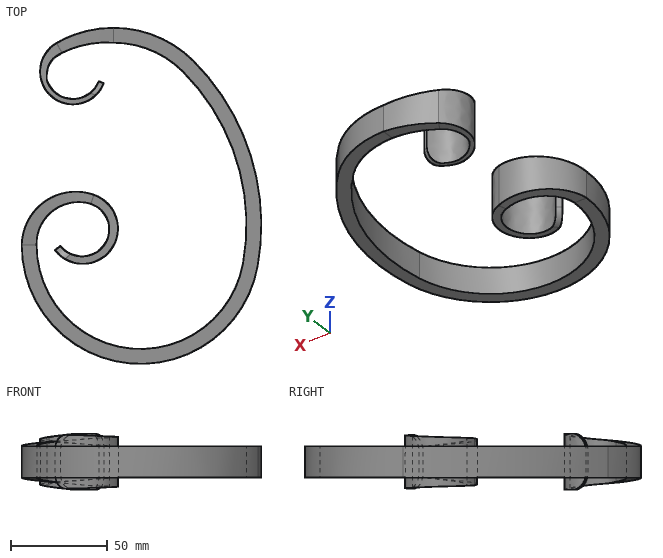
import cadquery as cq
import math

BAR_THICKNESS = 7.9
BAR_HEIGHT = 16.5

LOWER_RADIUS = 62.0
BACK_RADIUS = 120.8
TOP_RADIUS = 59.0
LOWER_START = -180.0
LOWER_TO_BACK = -10.2
BACK_TO_TOP = 45.0
TOP_END = 90.0

UPPER_CURL_RADIUS = 17.2
UPPER_CURL_START = 120.2
UPPER_THIN_ANGLE = 200.0
UPPER_TALL_ANGLE = 270.0
UPPER_TIP_ANGLE = 339.5
UPPER_CURL_START_THICKNESS = 6.0
UPPER_CURL_START_HEIGHT = 20.6
UPPER_THIN_THICKNESS = 2.8
UPPER_THIN_HEIGHT = 24.5
UPPER_TALL_HEIGHT = 29.0
UPPER_TIP_HEIGHT = 29.4

LOWER_SCROLL_RADIUS = 25.0
LOWER_CURL_RADIUS = 16.3
LOWER_CURL_START = 72.0
LOWER_TIP_ANGLE = -142.5
LOWER_CURL_START_THICKNESS = 5.0
LOWER_CURL_START_HEIGHT = 24.7
LOWER_TIP_THICKNESS = 3.5
LOWER_TIP_HEIGHT = 28.4

TIP_CORNER_RADIUS = 8.4
CUT_MARGIN = 1.8
CUT_REACH = 7.0
FULL_TURN = 360.0
SECTION_SPACING = 12.0

PATH_ON_OUTER_FACE = 0.0
PATH_IN_MIDDLE = 0.5


def polar(center, radius, angle):
    """Point at a radius and an angle from a centre."""
    turn = math.radians(angle)
    return (center[0] + radius * math.cos(turn), center[1] + radius * math.sin(turn))


def plain_bend(center, outer_radius, start, end):
    """Bar of constant section bent through an arc."""
    inner_radius = outer_radius - BAR_THICKNESS
    middle = (start + end) / 2
    return (
        cq.Workplane("XY", origin=(0, 0, -BAR_HEIGHT / 2))
        .moveTo(*polar(center, outer_radius, start))
        .threePointArc(polar(center, outer_radius, middle), polar(center, outer_radius, end))
        .lineTo(*polar(center, inner_radius, end))
        .threePointArc(polar(center, inner_radius, middle), polar(center, inner_radius, start))
        .close()
        .extrude(BAR_HEIGHT)
    )


def strip_section(center, inner_radius, outer_radius, angle, height):
    """Upright rectangle across the strip."""
    inner = polar(center, inner_radius, angle)
    outer = polar(center, outer_radius, angle)
    half = height / 2
    corners = [(*inner, -half), (*outer, -half), (*outer, half), (*inner, half)]
    return cq.Wire.makePolygon([cq.Vector(*corner) for corner in corners], close=True)


def tapered_bend(center, radius, stations, outer_share):
    """Strip along an arc, tapering evenly between stations of (angle, thickness, height)."""
    samples = [stations[0]]
    for begin, finish in zip(stations, stations[1:]):
        steps = math.ceil(abs(finish[0] - begin[0]) / SECTION_SPACING)
        for step in range(1, steps + 1):
            samples.append([a + (b - a) * step / steps for a, b in zip(begin, finish)])
    sections = []
    for angle, thickness, height in samples:
        outer_radius = radius + outer_share * thickness
        sections.append(strip_section(center, outer_radius - thickness, outer_radius, angle, height))
    return cq.Workplane(obj=cq.Solid.makeLoft(sections))


def round_tip(strip, center, middle_radius, angle, height, turn):
    """Round the upper and lower corners at the free end of a strip.

    turn is 1 when the strip runs counter-clockwise to its tip and -1 when it runs clockwise.
    """
    radial = polar((0.0, 0.0), 1.0, angle)
    back_from_tip = polar((0.0, 0.0), 1.0, angle - turn * 90)
    top = height / 2
    plane = cq.Plane(
        origin=(*polar(center, middle_radius, angle), 0),
        xDir=(*back_from_tip, 0),
        normal=(*radial, 0),
    )
    for side in (1, -1):
        waste = (
            cq.Workplane(plane)
            .moveTo(0, side * (top - TIP_CORNER_RADIUS))
            .radiusArc((TIP_CORNER_RADIUS, side * top), side * TIP_CORNER_RADIUS)
            .lineTo(TIP_CORNER_RADIUS, side * (top + CUT_MARGIN))
            .lineTo(-CUT_MARGIN, side * (top + CUT_MARGIN))
            .lineTo(-CUT_MARGIN, side * (top - TIP_CORNER_RADIUS))
            .close()
            .extrude(CUT_REACH, both=True)
        )
        strip = strip.cut(waste)
    return strip


lower_center = (0.0, 0.0)
back_center = polar(lower_center, LOWER_RADIUS - BACK_RADIUS, LOWER_TO_BACK)
top_center = polar(back_center, BACK_RADIUS - TOP_RADIUS, BACK_TO_TOP)
upper_curl_center = polar(top_center, TOP_RADIUS - UPPER_CURL_RADIUS, UPPER_CURL_START)
lower_scroll_center = polar(lower_center, LOWER_RADIUS - BAR_THICKNESS / 2 - LOWER_SCROLL_RADIUS, LOWER_START)
lower_curl_center = polar(lower_scroll_center, LOWER_SCROLL_RADIUS - LOWER_CURL_RADIUS, LOWER_CURL_START)

upper_joint = (UPPER_CURL_START, UPPER_CURL_START_THICKNESS, UPPER_CURL_START_HEIGHT)
upper_scroll = tapered_bend(
    top_center,
    TOP_RADIUS,
    [(TOP_END, BAR_THICKNESS, BAR_HEIGHT), upper_joint],
    PATH_ON_OUTER_FACE,
)
upper_curl = tapered_bend(
    upper_curl_center,
    UPPER_CURL_RADIUS,
    [
        upper_joint,
        (UPPER_THIN_ANGLE, UPPER_THIN_THICKNESS, UPPER_THIN_HEIGHT),
        (UPPER_TALL_ANGLE, UPPER_THIN_THICKNESS, UPPER_TALL_HEIGHT),
        (UPPER_TIP_ANGLE, UPPER_THIN_THICKNESS, UPPER_TIP_HEIGHT),
    ],
    PATH_ON_OUTER_FACE,
)
upper_tip_radius = UPPER_CURL_RADIUS - UPPER_THIN_THICKNESS / 2
upper_curl = round_tip(upper_curl, upper_curl_center, upper_tip_radius, UPPER_TIP_ANGLE, UPPER_TIP_HEIGHT, 1)

lower_joint = (LOWER_CURL_START, LOWER_CURL_START_THICKNESS, LOWER_CURL_START_HEIGHT)
lower_scroll = tapered_bend(
    lower_scroll_center,
    LOWER_SCROLL_RADIUS,
    [(LOWER_START + FULL_TURN, BAR_THICKNESS, BAR_HEIGHT), lower_joint],
    PATH_IN_MIDDLE,
)
lower_curl = tapered_bend(
    lower_curl_center,
    LOWER_CURL_RADIUS,
    [lower_joint, (LOWER_TIP_ANGLE, LOWER_TIP_THICKNESS, LOWER_TIP_HEIGHT)],
    PATH_IN_MIDDLE,
)
lower_curl = round_tip(lower_curl, lower_curl_center, LOWER_CURL_RADIUS, LOWER_TIP_ANGLE, LOWER_TIP_HEIGHT, -1)

result = plain_bend(lower_center, LOWER_RADIUS, LOWER_START, LOWER_TO_BACK)
result = result.union(plain_bend(back_center, BACK_RADIUS, LOWER_TO_BACK, BACK_TO_TOP))
result = result.union(plain_bend(top_center, TOP_RADIUS, BACK_TO_TOP, TOP_END))
for piece in (upper_scroll, upper_curl, lower_scroll, lower_curl):
    result = result.union(piece)